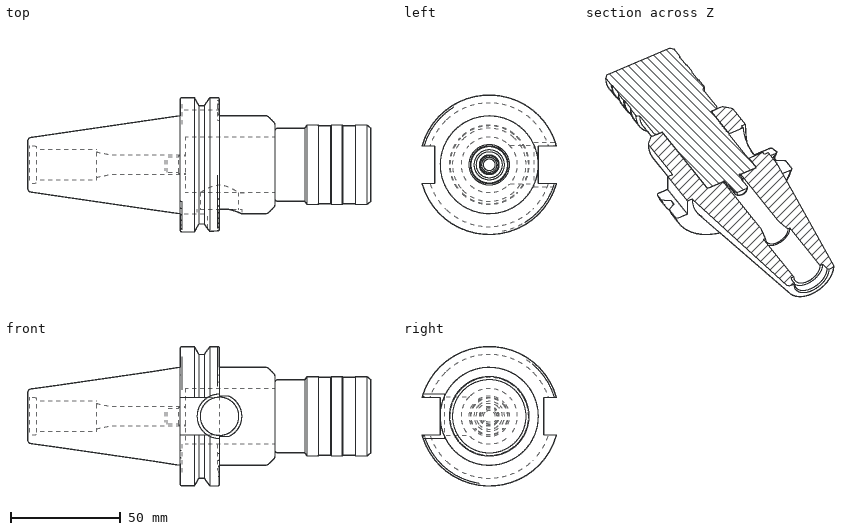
import cadquery as cq
import math

overall_length = 156.0

gage_diameter = 44.5
gage_radius = gage_diameter / 2
gage_x = 68.3
taper_slope = 7 / 48
taper_end_radius = gage_radius - taper_slope * gage_x
taper_end_fillet = 1.7

flange_diameter = 63.5
flange_radius = flange_diameter / 2
flange_left_x = 69.2
flange_right_x = 87.2
flange_edge_fillet = 1.0
groove_left_x = 75.8
groove_right_x = 82.8
groove_radius = 28.2
left_flank_angle = 30
left_flank_length = (flange_radius - groove_radius) * math.tan(math.radians(left_flank_angle))
right_flank_foot_x = 80.8
right_flank_foot_radius = 29.0
groove_floor_end_x = 80.3

nose_radius = 22.3
nose_end_x = 112.5
nose_chamfer = 3.5
nose_fillet = 1.9

slot_width = 17.0
front_slot_floor = nose_radius
back_slot_floor = 24.8

window_x = flange_right_x
window_radius = 8.7
spotface_radius = 10.1
spotface_floor = 20.3

mouth_radius = 9.2
mouth_depth = 0.8
pilot_radius = 8.5
pilot_end_x = 2.8
pilot_taper_radius = 8.3
pilot_taper_end_x = 4.0
thread_radius = 6.9
thread_end_x = 31.2
throat_radius = 6.0
throat_end_x = 32.0
funnel_radius = 5.6
funnel_end_x = 37.5
passage_radius = 4.5

shank_diameter = 25.4
shank_radius = shank_diameter / 2
shank_start_x = 71.7
collar_radius = 4.0
collar_start_x = 68.6
tip_radius = 3.5
tip_start_x = 62.4
tip_end_radius = 2.7
tip_chamfer = 1.0

neck_radius = 16.7
neck_fillet = 1.2
neck_end_x = 126.0
band_radius = 18.1
band_groove_radius = 17.8
rear_band_start_x = 127.0
rear_band_end_x = 132.1
middle_band_start_x = 138.2
middle_band_end_x = 142.9
middle_band_bevel = 0.5
front_band_start_x = 149.0
front_band_end_x = 154.2


def turned(points):
    """Revolve a closed (x, radius) outline about the X axis."""
    return cq.Workplane("XY").polyline(points).close().revolve(360, (0, 0, 0), (1, 0, 0))


def circle_at(x, radius):
    """Selector for the circular edge of this radius centred on the axis at x."""
    margin = 0.02
    reach = radius + margin
    return cq.selectors.BoxSelector(
        (x - margin, -reach, -reach), (x + margin, reach, reach), boundingbox=True
    )


def make_housing_blank():
    blank = turned([
        (0, 0),
        (0, taper_end_radius),
        (gage_x, gage_radius),
        (flange_left_x, gage_radius),
        (flange_left_x, flange_radius),
        (groove_left_x, flange_radius),
        (groove_left_x + left_flank_length, groove_radius),
        (groove_floor_end_x, groove_radius),
        (right_flank_foot_x, right_flank_foot_radius),
        (groove_right_x, flange_radius),
        (flange_right_x, flange_radius),
        (flange_right_x, nose_radius),
        (nose_end_x - nose_chamfer, nose_radius),
        (nose_end_x, nose_radius - nose_chamfer),
        (nose_end_x, 0),
    ])
    blank = blank.edges(circle_at(0, taper_end_radius)).fillet(taper_end_fillet)
    for x in (flange_left_x, flange_right_x):
        blank = blank.edges(cq.selectors.SubtractSelector(
            circle_at(x, flange_radius), circle_at(x, nose_radius)
        )).fillet(flange_edge_fillet)
    blank = blank.edges(circle_at(nose_end_x - nose_chamfer, nose_radius)).fillet(nose_fillet)
    return blank.edges(circle_at(nose_end_x, nose_radius - nose_chamfer)).fillet(nose_fillet)


def make_bore():
    """Stepped bore along the whole housing: drawbar thread, passage, then the insert's seat."""
    return turned([
        (0, 0),
        (0, mouth_radius),
        (mouth_depth, pilot_radius),
        (pilot_end_x, pilot_radius),
        (pilot_taper_end_x, pilot_taper_radius),
        (pilot_taper_end_x, thread_radius),
        (thread_end_x, thread_radius),
        (thread_end_x, throat_radius),
        (throat_end_x, funnel_radius),
        (funnel_end_x, passage_radius),
        (shank_start_x, passage_radius),
        (shank_start_x, shank_radius),
        (nose_end_x, shank_radius),
        (nose_end_x, 0),
    ])


def make_slot(side, floor):
    """Drive slot across the flange on the +Y (side = 1) or -Y (side = -1) side."""
    depth = flange_radius - floor
    return cq.Workplane("XY").box(
        flange_right_x - flange_left_x, depth, slot_width, centered=(False, True, True)
    ).translate((flange_left_x, side * (floor + depth / 2), 0))


def make_side_cut(radius, floor):
    """Cylinder along Y from the floor distance off the axis out past the flange on the -Y side."""
    return cq.Workplane("XZ", origin=(window_x, -floor, 0)).circle(radius).extrude(flange_radius - floor)


def make_housing():
    housing = make_housing_blank().cut(make_bore())
    housing = housing.cut(make_slot(-1, front_slot_floor)).cut(make_slot(1, back_slot_floor))
    housing = housing.cut(make_side_cut(spotface_radius, spotface_floor))
    return housing.cut(make_side_cut(window_radius, 0))


def make_insert():
    insert = turned([
        (tip_start_x, 0),
        (tip_start_x, tip_end_radius),
        (tip_start_x + tip_chamfer, tip_radius),
        (collar_start_x, tip_radius),
        (collar_start_x, collar_radius),
        (shank_start_x, collar_radius),
        (shank_start_x, shank_radius),
        (nose_end_x, shank_radius),
        (nose_end_x, neck_radius),
        (neck_end_x, neck_radius),
        (rear_band_start_x, band_radius),
        (rear_band_end_x, band_radius),
        (rear_band_end_x, band_groove_radius),
        (middle_band_start_x - middle_band_bevel, band_groove_radius),
        (middle_band_start_x, band_radius),
        (middle_band_end_x, band_radius),
        (middle_band_end_x + middle_band_bevel, band_groove_radius),
        (front_band_start_x, band_groove_radius),
        (front_band_start_x, band_radius),
        (front_band_end_x, band_radius),
        (overall_length, neck_radius),
        (overall_length, 0),
    ])
    return insert.edges(cq.selectors.SubtractSelector(
        circle_at(nose_end_x, neck_radius), circle_at(nose_end_x, shank_radius)
    )).fillet(neck_fillet)


housing = make_housing()
insert = make_insert()
result = cq.Compound.makeCompound([housing.solids().val(), insert.solids().val()])